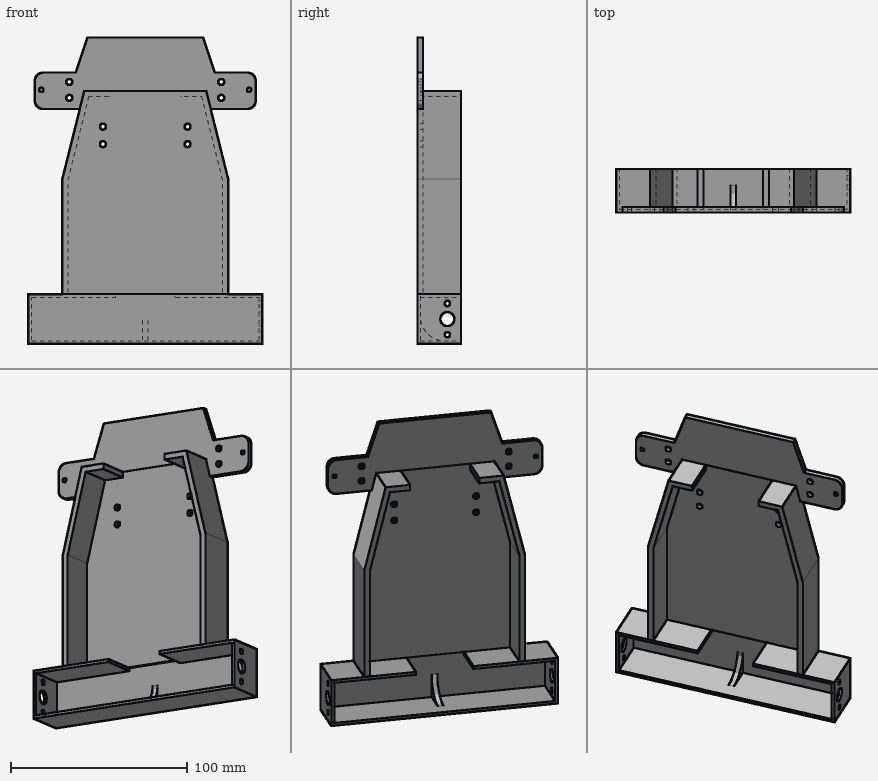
import cadquery as cq

depth = 24.9
total_height = 174.0

base_width = 133.0
base_height = 28.2
base_wall = 1.7
base_opening_width = 33.8
end_hole_y = 17.0
end_hole_z = base_height / 2
shaft_hole_diameter = 7.8
screw_hole_diameter = 3.0
screw_hole_offset = 8.9
gusset_thickness = 3.3
gusset_reach_y = 15.5

housing_half_width = 47.2
housing_top_half_width = 34.6
housing_taper_z = 93.6
housing_top_z = 143.7
housing_wall = 3.3
housing_opening_width = 40.5
housing_hole_x = 24.0
housing_hole_heights = (113.5, 123.4)

plate_thickness = 3.3
plate_top_half_width = 32.9
plate_neck_half_width = 39.5
wing_half_width = 62.8
wing_bottom_z = 133.3
wing_top_z = 154.2
wing_corner_radius = 5.0
wing_hole_x = 43.2
wing_hole_heights = (139.7, 148.8)
tip_hole_x = 59.0
tip_hole_z = sum(wing_hole_heights) / 2
tip_hole_diameter = 2.3

mount_hole_diameter = 3.3


def block(width, y_start, y_end, z_start, z_end):
    """Box centred on X, between the given Y and Z limits."""
    return (
        cq.Workplane("XY")
        .box(width, y_end - y_start, z_end - z_start, centered=(True, False, False))
        .translate((0, y_start, z_start))
    )


def extrude_back(outline, y_start, y_end):
    """Extrude an XZ outline towards +Y between two Y positions."""
    return (
        cq.Workplane("XZ", origin=(0, y_start, 0))
        .polyline(outline)
        .close()
        .extrude(y_start - y_end)
    )


def mirrored_holes(x, heights, diameter, length):
    """Cylinders along Y at +x and -x, starting at the front face."""
    points = [(side * x, z) for side in (-1, 1) for z in heights]
    return cq.Workplane("XZ").pushPoints(points).circle(diameter / 2).extrude(-length)


def end_holes():
    """Shaft hole and two screw holes running along X through both end walls."""
    plane = cq.Workplane("YZ", origin=(-base_width / 2, 0, 0))
    screw_points = [(end_hole_y, end_hole_z + side * screw_hole_offset) for side in (-1, 1)]
    shaft = plane.center(end_hole_y, end_hole_z).circle(shaft_hole_diameter / 2).extrude(base_width)
    screws = plane.pushPoints(screw_points).circle(screw_hole_diameter / 2).extrude(base_width)
    return shaft.union(screws)


def make_gusset():
    """Central rib with a concave quarter-round edge, from the front wall to the floor."""
    radius = gusset_reach_y - base_wall
    return (
        cq.Workplane("YZ", origin=(-gusset_thickness / 2, 0, 0))
        .moveTo(0, 0)
        .lineTo(gusset_reach_y, 0)
        .lineTo(gusset_reach_y, base_wall)
        .radiusArc((base_wall, base_wall + radius), radius)
        .lineTo(0, base_wall + radius)
        .close()
        .extrude(gusset_thickness)
    )


def make_base():
    ceiling_z = base_height - base_wall
    body = block(base_width, 0, depth, 0, base_height)
    cavity = block(base_width - 2 * base_wall, base_wall, depth, base_wall, ceiling_z)
    opening = block(base_opening_width, base_wall, depth, ceiling_z, base_height)
    return body.cut(cavity).cut(opening).cut(end_holes()).union(make_gusset())


def housing_outline():
    return [
        (-housing_half_width, base_height),
        (housing_half_width, base_height),
        (housing_half_width, housing_taper_z),
        (housing_top_half_width, housing_top_z),
        (-housing_top_half_width, housing_top_z),
        (-housing_half_width, housing_taper_z),
    ]


def housing_cavity():
    """Interior that leaves one wall thickness at the front, sides and top."""
    outer = cq.Workplane("XZ", origin=(0, housing_wall, 0)).polyline(housing_outline()).close()
    inset = outer.offset2D(-housing_wall).extrude(housing_wall - depth)
    bottom_width = 2 * (housing_half_width - housing_wall)
    bottom = block(bottom_width, housing_wall, depth, base_height, base_height + 2 * housing_wall)
    return inset.union(bottom)


def make_housing():
    body = extrude_back(housing_outline(), 0, depth)
    opening = block(
        housing_opening_width, housing_wall, depth, housing_top_z - 2 * housing_wall, housing_top_z
    )
    holes = mirrored_holes(housing_hole_x, housing_hole_heights, mount_hole_diameter, housing_wall)
    return body.cut(housing_cavity()).cut(opening).cut(holes)


def make_plate():
    wings = (
        block(2 * wing_half_width, 0, plate_thickness, wing_bottom_z, wing_top_z)
        .edges("|Y")
        .fillet(wing_corner_radius)
    )
    crown_outline = [
        (-plate_neck_half_width, wing_top_z),
        (plate_neck_half_width, wing_top_z),
        (plate_top_half_width, total_height),
        (-plate_top_half_width, total_height),
    ]
    crown = extrude_back(crown_outline, 0, plate_thickness)
    housing_recess = extrude_back(housing_outline(), 0, depth)
    mount_holes = mirrored_holes(wing_hole_x, wing_hole_heights, mount_hole_diameter, plate_thickness)
    tip_holes = mirrored_holes(tip_hole_x, (tip_hole_z,), tip_hole_diameter, plate_thickness)
    return wings.union(crown).cut(housing_recess).cut(mount_holes).cut(tip_holes)


base = make_base()
housing = make_housing()
plate = make_plate()

bodies = (base, housing, plate)
result = cq.Compound.makeCompound([body.solids().val() for body in bodies])